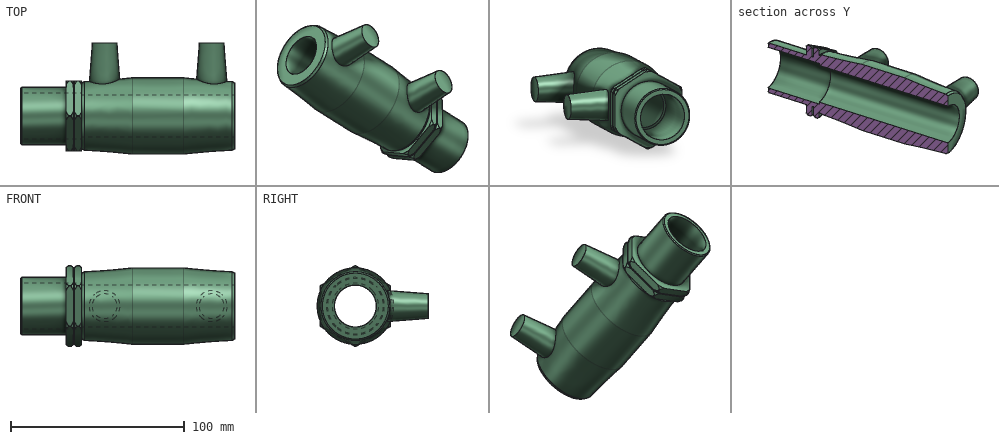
import cadquery as cq

total_length = 123.0

tube_diameter = 33.2
tube_chamfer = 0.6
tube_bore_diameter = 26.6

nut_start = 26.1
nut_thickness = 4.2
nut_gap = 0.6
nut_across_flats = 40.5
nut_corner_diameter = 46.5
nut_chamfer_radial = 1.1
nut_chamfer_axial = 1.4
nut_pitch = nut_thickness + nut_gap

body_start = nut_start + nut_pitch + nut_thickness
body_diameter = 44.0
body_end_diameter = 39.6
body_chamfer_axial = 1.5
body_chamfer_radial = 0.9
middle_start = 64.2
middle_end = 93.5
taper_sag = 0.2
body_bore_diameter = 24.0

spigot_positions = (48.2, 109.7)
spigot_tip_y = 42.0
spigot_tip_diameter = 14.3
spigot_root_y = body_end_diameter / 2
spigot_root_diameter = 17.7
spigot_taper = (spigot_root_diameter - spigot_tip_diameter) / (spigot_tip_y - spigot_root_y)


def revolve_about_x(profile):
    """Close a profile drawn as (axial position, radius) and spin it about X."""
    return profile.close().revolve(360, (0, 0, 0), (1, 0, 0))


def cylinder_along_x(start, end, diameter):
    return cq.Workplane("YZ", origin=(start, 0, 0)).circle(diameter / 2).extrude(end - start)


def make_tube():
    tube = cylinder_along_x(0, body_start + body_chamfer_axial, tube_diameter)
    return tube.faces("<X").chamfer(tube_chamfer)


def make_nut(start):
    """Hexagon with flats facing +/-Y, its corners turned down on both faces."""
    end = start + nut_thickness
    corner_radius = nut_corner_diameter / 2
    face_radius = corner_radius - nut_chamfer_radial
    hexagon = (
        cq.Workplane("YZ", origin=(start, 0, 0))
        .polygon(6, nut_across_flats, circumscribed=True)
        .extrude(nut_thickness)
    )
    turned_blank = revolve_about_x(
        cq.Workplane("XY")
        .moveTo(start, 0)
        .lineTo(start, face_radius)
        .lineTo(start + nut_chamfer_axial, corner_radius)
        .lineTo(end - nut_chamfer_axial, corner_radius)
        .lineTo(end, face_radius)
        .lineTo(end, 0)
    )
    return hexagon.intersect(turned_blank)


def make_body():
    middle_radius = body_diameter / 2
    end_radius = body_end_diameter / 2
    face_radius = end_radius - body_chamfer_radial
    taper_start = body_start + body_chamfer_axial
    taper_end = total_length - body_chamfer_axial
    sagged_radius = (middle_radius + end_radius) / 2 - taper_sag
    return revolve_about_x(
        cq.Workplane("XY")
        .moveTo(body_start, 0)
        .lineTo(body_start, face_radius)
        .lineTo(taper_start, end_radius)
        .threePointArc(((taper_start + middle_start) / 2, sagged_radius), (middle_start, middle_radius))
        .lineTo(middle_end, middle_radius)
        .threePointArc(((middle_end + taper_end) / 2, sagged_radius), (taper_end, end_radius))
        .lineTo(total_length, face_radius)
        .lineTo(total_length, 0)
    )


def make_spigot(x):
    """Cone from the body axis out to the spigot tip."""
    axis_diameter = spigot_tip_diameter + spigot_taper * spigot_tip_y
    cone = cq.Solid.makeCone(
        axis_diameter / 2,
        spigot_tip_diameter / 2,
        spigot_tip_y,
        pnt=cq.Vector(x, 0, 0),
        dir=cq.Vector(0, 1, 0),
    )
    return cq.Workplane(cone)


result = make_tube().union(make_body())
for nut_index in range(2):
    result = result.union(make_nut(nut_start + nut_index * nut_pitch))
for spigot_x in spigot_positions:
    result = result.union(make_spigot(spigot_x))

result = result.cut(cylinder_along_x(0, total_length, body_bore_diameter))
result = result.cut(cylinder_along_x(0, body_start, tube_bore_diameter))